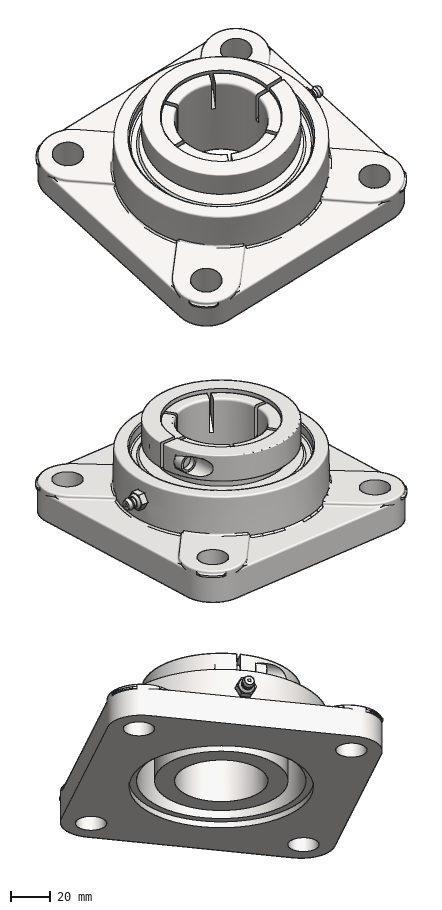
import cadquery as cq
import math

flange_side = 143.0
corner_radius = 17.5
web_height = 16.0
ear_height = 18.0
edge_fillet = 1.0
root_fillet = 0.95
bolt_hole_diameter = 16.0
bolt_pitch = 111.0
boss_height = 40.0
boss_base_radius = 55.4
boss_top_radius = 54.8
boss_top_fillet = 1.0

bearing_center_z = 19.0
ring_outer_diameter = 99.06
opening_diameter = 93.98
opening_chamfer = 0.7
ring_face_bore_radius = 43.2
ring_lip_width = 1.0
ring_lip_depth = 0.5
seal_bore_diameter = 69.02
seal_top_radius = 42.0
seal_rise = 1.0
seal_thickness = 3.5

shaft_diameter = 47.62
neck_diameter = 68.0
sleeve_diameter = 62.0
sleeve_top_z = 54.1
sleeve_edge_chamfer = 0.4
bore_fillet = 1.4
slot_count = 6
slot_width = 1.98
slot_floor_z = 34.8
slot_floor_slope = 45.0

collar_top_z = 56.1
collar_bottom_z = 41.2
collar_diameter = 81.2
collar_edge_fillet = 0.6
collar_gap = slot_width

screw_y = 35.4
screw_z = (collar_top_z + collar_bottom_z) / 2
screw_diameter = 6.0
screw_clearance_diameter = 6.4
screw_head_diameter = 10.0
screw_pocket_diameter = 10.8
screw_head_start_x = -14.7
screw_head_end_x = -9.0
screw_tip_x = 12.0
screw_socket_diameter = 7.5
screw_socket_depth = 3.0

nipple_z = 29.0
nipple_shank_diameter = 6.0
nipple_shank_end_y = 51.0
hex_across_flats = 9.0
hex_start_y = 54.0
hex_end_y = 58.8
shoulder_base_diameter = 8.4
shoulder_top_diameter = 6.0
shoulder_end_y = 60.2
nipple_neck_diameter = 4.92
nipple_neck_end_y = 61.7
nipple_head_diameter = 6.4
nipple_head_y = 63.1
nipple_tip_y = 65.2
nipple_tip_diameter = 4.92
ball_diameter = 1.98
ball_projection = 0.4

boss_draft = (boss_base_radius - boss_top_radius) / (boss_height - web_height)
ring_outer_radius = ring_outer_diameter / 2
opening_radius = opening_diameter / 2
ring_half_width = math.sqrt(ring_outer_radius**2 - opening_radius**2)
ring_top_z = bearing_center_z + ring_half_width
ring_bottom_z = bearing_center_z - ring_half_width
corner_offset = flange_side / 2 - corner_radius
ear_length = corner_offset * math.sqrt(2)
flat_side = flange_side - 2 * edge_fillet
ball_center_y = nipple_tip_y + ball_projection - ball_diameter / 2


def disc(diameter, bottom_z, top_z):
    """Cylinder on the Z axis."""
    return cq.Workplane("XY").workplane(offset=bottom_z).circle(diameter / 2).extrude(top_z - bottom_z)


def rod_x(diameter, start_x, end_x):
    """Cylinder on the axis of the clamp screw."""
    plane = cq.Workplane("YZ", origin=(start_x, screw_y, screw_z))
    return plane.circle(diameter / 2).extrude(end_x - start_x)


def bearing_sphere():
    return cq.Workplane("XY").sphere(ring_outer_radius).translate((0, 0, bearing_center_z))


def make_flange():
    web = cq.Workplane("XY").rect(flange_side, flange_side).extrude(web_height)
    web = web.edges("|Z").fillet(corner_radius)
    return web.faces(">Z").edges().fillet(edge_fillet)


def ear_outline(half_width, bottom_z):
    """Strip from the middle of the flange to one corner, with a round end, along +X."""
    return (
        cq.Workplane("XY")
        .workplane(offset=bottom_z)
        .moveTo(0, -half_width)
        .lineTo(ear_length, -half_width)
        .threePointArc((ear_length + half_width, 0), (ear_length, half_width))
        .lineTo(0, half_width)
        .close()
    )


def turn_to_corner(shape, corner):
    return shape.rotate((0, 0, 0), (0, 0, 1), 45 + 90 * corner)


def make_ear():
    """Raised pad that runs from the boss out to a rounded corner."""
    ear = ear_outline(corner_radius, 0).extrude(ear_height)
    return ear.faces(">Z").edges("not <X").fillet(edge_fillet)


def root_profile(plane, radius, floor_z):
    """Half section from the axis out to a concave root fillet on a wall of the given radius."""
    inset = root_fillet * (1 - math.sqrt(0.5))
    return (
        cq.Workplane(plane)
        .moveTo(0, floor_z - root_fillet)
        .lineTo(radius + root_fillet, floor_z - root_fillet)
        .lineTo(radius + root_fillet, floor_z)
        .threePointArc((radius + inset, floor_z + inset), (radius, floor_z + root_fillet))
        .lineTo(0, floor_z + root_fillet)
        .close()
    )


def make_ear_root():
    """Concave fillet where the ear walls meet the web."""
    side = root_profile("YZ", corner_radius, web_height).extrude(ear_length)
    end = root_profile("XZ", corner_radius, web_height).revolve(360, (0, 0, 0), (0, 1, 0))
    return side.union(side.mirror("XZ")).union(end.translate((ear_length, 0, 0)))


def boss_radius_at(height):
    return boss_base_radius - boss_draft * (height - web_height)


def make_boss_root(floor_z):
    """Concave fillet around the foot of the boss."""
    wall_radius = boss_radius_at(floor_z + root_fillet)
    return root_profile("XZ", wall_radius, floor_z).revolve(360, (0, 0, 0), (0, 1, 0))


def make_boss():
    boss = (
        cq.Workplane("XZ")
        .lineTo(boss_base_radius, 0)
        .lineTo(boss_base_radius, web_height)
        .lineTo(boss_top_radius, boss_height)
        .lineTo(0, boss_height)
        .close()
        .revolve(360, (0, 0, 0), (0, 1, 0))
    )
    return boss.faces(">Z").edges().fillet(boss_top_fillet)


def make_housing():
    body = make_flange()
    flat_area = cq.Workplane("XY").rect(flat_side, flat_side).extrude(boss_height)
    ear_top = ear_outline(corner_radius - edge_fillet, web_height).extrude(boss_height - web_height)
    ear_boss_root = make_boss_root(ear_height).intersect(ear_top)
    for corner in range(4):
        body = body.union(turn_to_corner(make_ear(), corner))
    body = body.union(make_boss()).union(make_boss_root(web_height))
    for corner in range(4):
        body = body.union(turn_to_corner(ear_boss_root, corner))
        body = body.union(turn_to_corner(make_ear_root(), corner).intersect(flat_area))
    body = body.cut(bearing_sphere())
    body = body.cut(disc(opening_diameter, 0, boss_height))
    opening = (
        cq.Workplane("XY").workplane(offset=boss_height - opening_chamfer).circle(opening_radius)
        .workplane(offset=opening_chamfer).circle(opening_radius + opening_chamfer).loft()
    )
    body = body.cut(opening)
    holes = cq.Workplane("XY").rect(bolt_pitch, bolt_pitch, forConstruction=True).vertices()
    return body.cut(holes.circle(bolt_hole_diameter / 2).extrude(ear_height))


def make_outer_ring():
    ring = bearing_sphere().intersect(disc(ring_outer_diameter, ring_bottom_z, ring_top_z))
    ring = ring.cut(disc(2 * ring_face_bore_radius, ring_bottom_z, ring_top_z))
    lip_radius = opening_radius - ring_lip_width
    dish = (
        cq.Workplane("XY").workplane(offset=ring_top_z - ring_lip_depth).circle(lip_radius)
        .workplane(offset=ring_lip_depth).circle(opening_radius).loft()
    )
    return ring.cut(dish)


def make_seal():
    face_z = ring_top_z - ring_lip_depth
    profile = (
        cq.Workplane("XZ")
        .moveTo(seal_bore_diameter / 2, face_z - seal_thickness)
        .lineTo(ring_face_bore_radius, face_z - seal_thickness)
        .lineTo(ring_face_bore_radius, face_z)
        .lineTo(seal_top_radius, face_z + seal_rise)
        .lineTo(seal_bore_diameter / 2, face_z + seal_rise)
        .close()
    )
    return profile.revolve(360, (0, 0, 0), (0, 1, 0))


def make_inner_ring():
    sleeve = disc(sleeve_diameter, ring_bottom_z, sleeve_top_z).faces(">Z").edges().chamfer(sleeve_edge_chamfer)
    ring = sleeve.union(disc(neck_diameter, ring_bottom_z, collar_bottom_z))
    ring = ring.cut(disc(shaft_diameter, ring_bottom_z, sleeve_top_z))
    ring = ring.faces(">Z").edges("%CIRCLE").edges(cq.selectors.RadiusNthSelector(0)).fillet(bore_fillet)
    reach = neck_diameter / 2
    rise = (reach - shaft_diameter / 2) * math.tan(math.radians(slot_floor_slope))
    slot = (
        cq.Workplane("XZ")
        .moveTo(0, slot_floor_z)
        .lineTo(shaft_diameter / 2, slot_floor_z)
        .lineTo(reach, slot_floor_z + rise)
        .lineTo(reach, sleeve_top_z)
        .lineTo(0, sleeve_top_z)
        .close()
        .extrude(slot_width / 2, both=True)
    )
    for index in range(slot_count):
        ring = ring.cut(slot.rotate((0, 0, 0), (0, 0, 1), 90 + index * 360 / slot_count))
    return ring


def make_collar():
    collar = disc(collar_diameter, collar_bottom_z, collar_top_z).edges().fillet(collar_edge_fillet)
    collar = collar.cut(disc(sleeve_diameter, collar_bottom_z, collar_top_z))
    gap = cq.Workplane("XY").workplane(offset=collar_bottom_z).center(0, collar_diameter / 2)
    collar = collar.cut(gap.rect(collar_gap, collar_diameter).extrude(collar_top_z - collar_bottom_z))
    collar = collar.cut(rod_x(screw_pocket_diameter, -collar_diameter / 2, screw_head_end_x))
    collar = collar.cut(rod_x(screw_clearance_diameter, screw_head_end_x, 0))
    return collar.cut(rod_x(screw_diameter, 0, screw_tip_x))


def make_clamp_screw():
    screw = rod_x(screw_head_diameter, screw_head_start_x, screw_head_end_x)
    screw = screw.union(rod_x(screw_diameter, screw_head_end_x, screw_tip_x))
    return screw.cut(rod_x(screw_socket_diameter, screw_head_start_x, screw_head_start_x + screw_socket_depth))


def make_ball():
    return cq.Workplane("XY").sphere(ball_diameter / 2).translate((0, ball_center_y, nipple_z))


def make_nipple():
    turned = (
        cq.Workplane("XY")
        .moveTo(0, nipple_shank_end_y)
        .lineTo(nipple_shank_diameter / 2, nipple_shank_end_y)
        .lineTo(nipple_shank_diameter / 2, hex_end_y)
        .lineTo(shoulder_base_diameter / 2, hex_end_y)
        .lineTo(shoulder_top_diameter / 2, shoulder_end_y)
        .lineTo(nipple_neck_diameter / 2, shoulder_end_y)
        .lineTo(nipple_neck_diameter / 2, nipple_neck_end_y)
        .lineTo(nipple_head_diameter / 2, nipple_head_y)
        .lineTo(nipple_tip_diameter / 2, nipple_tip_y)
        .lineTo(0, nipple_tip_y)
        .close()
        .revolve(360, (0, 0, 0), (0, 1, 0))
        .translate((0, 0, nipple_z))
    )
    hexagon = (
        cq.Workplane("XZ", origin=(0, hex_end_y, nipple_z))
        .polygon(6, hex_across_flats / math.cos(math.pi / 6))
        .extrude(hex_end_y - hex_start_y)
    )
    return turned.union(hexagon).cut(make_ball())


nipple = make_nipple()
ball = make_ball()
housing = make_housing().cut(nipple)
outer_ring = make_outer_ring()
seal = make_seal()
inner_ring = make_inner_ring()
collar = make_collar()
clamp_screw = make_clamp_screw()

result = cq.Compound.makeCompound(
    [
        housing.val(),
        outer_ring.val(),
        seal.val(),
        inner_ring.val(),
        collar.val(),
        clamp_screw.val(),
        nipple.val(),
        ball.val(),
    ]
)